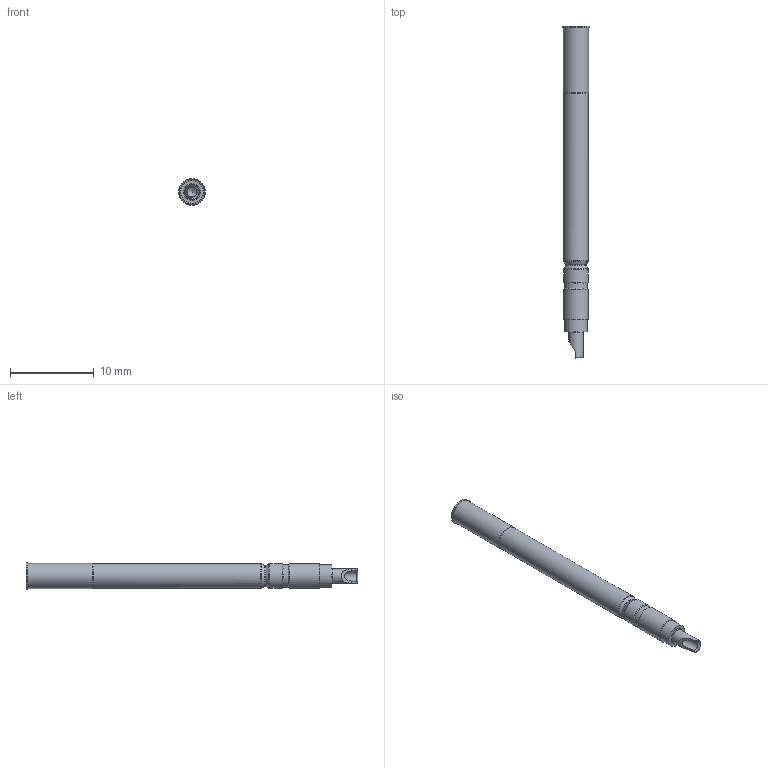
import cadquery as cq
import math

length = 39.6
tip_y = -length / 2

rim_radius = 1.6
head_radius = 1.5
body_radius = 1.48
crimp_groove_radius = 1.25
step_radius = 1.37
tip_radius = 0.88

shoulder_at = 3.15
nose_at = 4.6
shallow_groove_front_at = 8.2
shallow_groove_back_at = 9.0
crimp_groove_at = 11.06
rim_thickness = 0.2
head_length = 8.0
head_at = length - head_length
rim_at = length - rim_thickness

crimp_floor_half_width = 0.08
crimp_mouth_half_width = 0.48
crimp_rim_round = 0.2

shallow_groove_wall_run = 0.1
head_taper_length = 0.1

neck_fillet = 0.1

edge_search_reach = 0.05

bore_radius = 0.6
bore_depth = 3.0
drill_point_half_angle = 59
countersink_depth = 0.2
mouth_radius = 0.86

cut_plane_x = -0.06
cut_run_out_at = 0.75
cut_start_at = 2.02
cut_bow_x = -0.4
cut_bow_at = 1.35


def revolve_about_y(profile):
    """Turn a closed (radius, distance from tip) outline around the Y axis."""
    outline = cq.Workplane("XY").polyline(profile).close()
    return outline.revolve(360, (0, 0, 0), (0, 1, 0)).translate((0, tip_y, 0))


def turned_body():
    return revolve_about_y([
        (0, 0),
        (tip_radius, 0),
        (tip_radius, shoulder_at),
        (step_radius, shoulder_at),
        (step_radius, nose_at),
        (body_radius, nose_at),
        (body_radius, shallow_groove_front_at),
        (step_radius, shallow_groove_front_at + shallow_groove_wall_run),
        (step_radius, shallow_groove_back_at - shallow_groove_wall_run),
        (body_radius, shallow_groove_back_at),
        (body_radius, crimp_groove_at - crimp_mouth_half_width),
        (crimp_groove_radius, crimp_groove_at - crimp_floor_half_width),
        (crimp_groove_radius, crimp_groove_at + crimp_floor_half_width),
        (body_radius, crimp_groove_at + crimp_mouth_half_width),
        (body_radius, head_at),
        (head_radius, head_at + head_taper_length),
        (head_radius, rim_at),
        (rim_radius, rim_at),
        (rim_radius, length),
        (0, length),
    ])


def circles_near(body, distance_from_tip):
    """Circular edges within edge_search_reach of a station along the part."""
    station_y = tip_y + distance_from_tip
    search_box = cq.selectors.BoxSelector(
        (-rim_radius, station_y - edge_search_reach, -rim_radius),
        (rim_radius, station_y + edge_search_reach, rim_radius),
    )
    return body.edges("%CIRCLE").edges(search_box)


def round_neck(body):
    """Fillet the inside corner where the tip meets its shoulder."""
    smallest = cq.selectors.RadiusNthSelector(0)
    return circles_near(body, shoulder_at).edges(smallest).fillet(neck_fillet)


def round_crimp_rims(body):
    """Round both rims of the crimp groove."""
    for side in (-1, 1):
        rim = circles_near(body, crimp_groove_at + side * crimp_mouth_half_width)
        body = rim.fillet(crimp_rim_round)
    return body


def cup_bore():
    point_length = bore_radius / math.tan(math.radians(drill_point_half_angle))
    return revolve_about_y([
        (0, 0),
        (mouth_radius, 0),
        (bore_radius, countersink_depth),
        (bore_radius, bore_depth),
        (0, bore_depth + point_length),
    ])


def side_cut():
    """Prism that removes the -X side of the tip, curving out to the tip's surface."""
    return (
        cq.Workplane("XY")
        .moveTo(cut_plane_x, 0)
        .lineTo(cut_plane_x, cut_run_out_at)
        .threePointArc((cut_bow_x, cut_bow_at), (-tip_radius, cut_start_at))
        .lineTo(-body_radius, cut_start_at)
        .lineTo(-body_radius, 0)
        .close()
        .extrude(body_radius, both=True)
        .translate((0, tip_y, 0))
    )


blank = round_crimp_rims(round_neck(turned_body()))
result = blank.cut(cup_bore()).cut(side_cut())